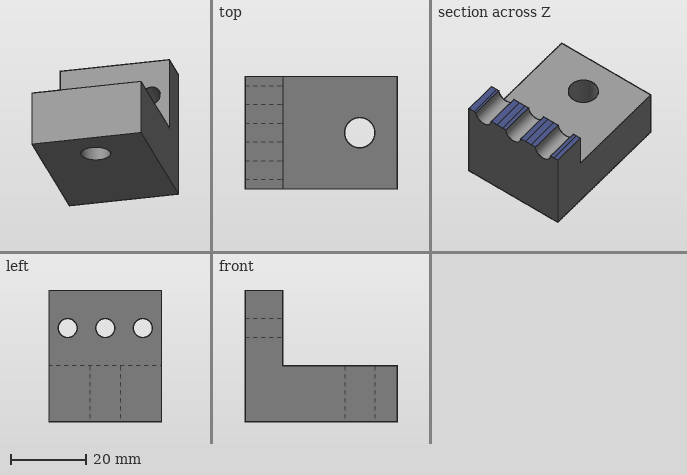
import cadquery as cq

length = 40.5
width = 30.0
height = 35.0

wall_thickness = 10.0
base_thickness = 15.0

base_hole_diameter = 8.0
base_hole_end_distance = 10.0

wall_hole_diameter = 5.0
wall_hole_count = 3
wall_hole_spacing = 10.0
wall_hole_top_distance = 10.0


def make_bracket():
    """L-shaped profile in XZ, extruded along +Y from the origin corner."""
    profile = [
        (0, 0),
        (length, 0),
        (length, base_thickness),
        (wall_thickness, base_thickness),
        (wall_thickness, height),
        (0, height),
    ]
    return cq.Workplane("XZ").polyline(profile).close().extrude(-width)


def make_base_hole():
    """Vertical cylinder on the mid-width line, near the free end of the base."""
    return (
        cq.Workplane("XY")
        .center(length - base_hole_end_distance, width / 2)
        .circle(base_hole_diameter / 2)
        .extrude(base_thickness)
    )


def make_wall_holes():
    """Row of cylinders along X, centred on the width of the wall."""
    return (
        cq.Workplane("YZ")
        .center(width / 2, height - wall_hole_top_distance)
        .rarray(wall_hole_spacing, 1, wall_hole_count, 1)
        .circle(wall_hole_diameter / 2)
        .extrude(wall_thickness)
    )


result = make_bracket().cut(make_base_hole()).cut(make_wall_holes())